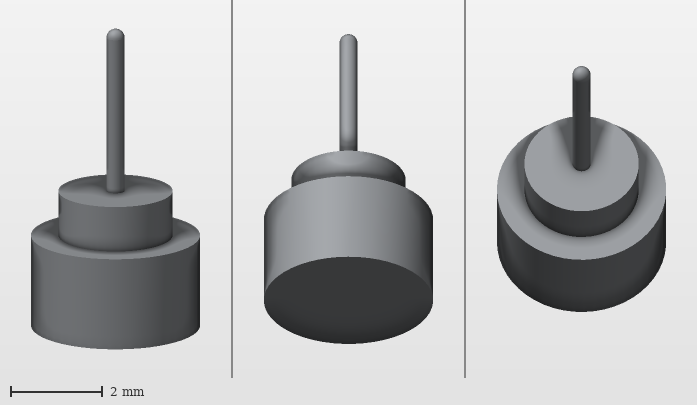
import cadquery as cq

total_height = 6.75
base_diameter = 3.7

base_height = 2.05
collar_diameter = 2.5
collar_height = 1.01
body_height = base_height + collar_height

insulator_diameter = 1.95
pin_diameter = 0.4
pin_radius = pin_diameter / 2


def cylinder(diameter, height, bottom=0.0):
    """Upright cylinder on the Z axis, starting at the given height."""
    return cq.Workplane("XY").workplane(offset=bottom).circle(diameter / 2).extrude(height)


def make_shell():
    """Base and collar, with the collar bored out for the insulator."""
    base = cylinder(base_diameter, base_height)
    collar = cylinder(collar_diameter, collar_height, base_height)
    bore = cylinder(insulator_diameter, collar_height, base_height)
    return base.union(collar.cut(bore))


def make_pin():
    """Pin with a hemispherical tip."""
    tip_center_height = total_height - pin_radius
    shaft = cylinder(pin_diameter, tip_center_height - body_height, body_height)
    tip = cq.Workplane("XY").sphere(pin_radius).translate((0, 0, tip_center_height))
    return shaft.union(tip)


insulator = cylinder(insulator_diameter, collar_height, base_height)

result = make_shell().union(insulator, clean=False).union(make_pin(), clean=False)